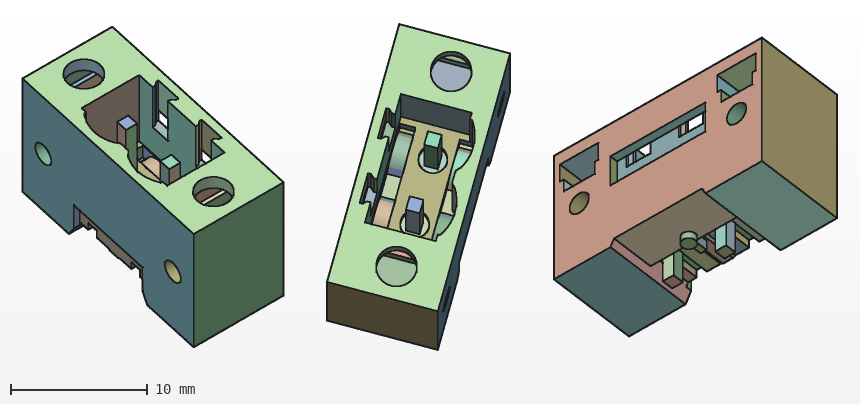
import cadquery as cq

LENGTH = 20.15
DEPTH = 8.43
HEIGHT = 12.02
FRONT_Y = -DEPTH / 2
BACK_Y = DEPTH / 2

PITCH = 5.08
PIN_POSITIONS = (-PITCH / 2, PITCH / 2)
AXIS_Y = -0.4
PIN_SIDE = 1.05
PIN_TOP = 11.0
PIN_BOTTOM = -1.5
PIN_FRONT_Y = AXIS_Y - PIN_SIDE / 2
PIN_BACK_Y = AXIS_Y + PIN_SIDE / 2

POCKET_HALF_LENGTH = 5.02
POCKET_FRONT_Y = -2.68
POCKET_BACK_Y = 2.7
POCKET_FLOOR = 5.0
LOBE_FRONT_Y = -3.47
LOBE_RADIUS = 3.43
LOBE_HALF_WIDTH = 1.95
LOBE_CUT_HALF_WIDTH = 1.71
LOBE_GAP_HALF_WIDTH = 0.48
PIN_RECESS_DIAMETER = 2.12
PIN_RECESS_DEPTH = 0.5

TROUGH_FLOOR = 3.75
TROUGH_HALF_LENGTH = PITCH / 2 + LOBE_HALF_WIDTH
FRONT_TROUGH_EDGE_Y = -1.92
BACK_TROUGH_EDGE_Y = 1.45
BACK_TROUGH_END_Y = 2.65
HUMP_HALF_WIDTH = 1.65
HUMP_ARC_HALF_WIDTH = 1.27
HUMP_SLOPE_RISE = 0.58
HUMP_ARC_RISE = 0.58

SLOT_FLOOR = 7.78
SLOT_NECK_HALF_WIDTH = 0.9
SLOT_HALF_WIDTH = 1.17
SLOT_NECK_END_Y = 2.96
SLOT_FLARE_END_Y = 3.25
SLOT_BACK_Y = 3.47

BACK_RECESS_HALF_LENGTH = 4.6
BACK_RECESS_TOP = 8.83
BACK_RECESS_BOTTOM = HEIGHT / 2

FLANGE_SPACING = 3 * PITCH
FLANGE_POSITIONS = (-FLANGE_SPACING / 2, FLANGE_SPACING / 2)
FLANGE_HOLE_DIAMETER = 3.0
FLANGE_HOLE_DEPTH = 1.19
CROSS_HOLE_DIAMETER = 1.87
NUT_SLOT_TOP = HEIGHT - FLANGE_HOLE_DEPTH
NUT_SLOT_WIDTH = 3.73
NUT_SLOT_LEDGE = 9.17
NUT_SLOT_FLOOR = 8.0
NUT_SLOT_FRONT_Y = AXIS_Y - FLANGE_HOLE_DIAMETER / 2

NOTCH_HALF_LENGTH = 4.6
NOTCH_TOP_HALF_LENGTH = 3.87
FRONT_NOTCH_HEIGHT = 1.35
BACK_NOTCH_HEIGHT = 0.65
NOTCH_SIDE_RUN = (NOTCH_HALF_LENGTH - NOTCH_TOP_HALF_LENGTH) / FRONT_NOTCH_HEIGHT
BUMP_HALF_LENGTH = 0.73
BUMP_FLAT_HALF_LENGTH = 0.48
BUMP_BOTTOM = 1.23
FRONT_RECESS_HALF_LENGTH = 4.05
FRONT_RECESS_TOP = 3.53
FRONT_RECESS_DEPTH = 0.56
PIN_CHANNEL_WIDTH = 0.99
PIN_CHANNEL_TOP = 2.08
POST_RADIUS = 0.62
POST_Y = PIN_BACK_Y + POST_RADIUS
RIB_WIDTH = 0.58
RIB_BOTTOM = 0.32


def box(x_range, y_range, z_range):
    """Box between the given limits along X, Y and Z."""
    (x0, x1), (y0, y1), (z0, z1) = x_range, y_range, z_range
    return cq.Workplane("XY").box(x1 - x0, y1 - y0, z1 - z0, centered=False).translate((x0, y0, z0))


def centred_box(x_center, width, y_range, z_range):
    """Box of the given width about x_center."""
    return box((x_center - width / 2, x_center + width / 2), y_range, z_range)


def along_y(start_y):
    """Sketch plane with X right and Z up that extrudes towards +Y."""
    return cq.Workplane(cq.Plane(origin=(0, start_y, 0), xDir=(1, 0, 0), normal=(0, -1, 0)))


def prism_y(sketch, y_range):
    """Extrude a closed X-Z sketch from the first Y to the second."""
    return sketch.extrude(-(y_range[1] - y_range[0]))


def lobe_arc_y(offset):
    """Y of the front lobe arc at an X offset from its contact."""
    center_y = LOBE_FRONT_Y + LOBE_RADIUS
    return center_y - (LOBE_RADIUS**2 - offset**2) ** 0.5


def pocket_prism(floor):
    """Full pocket outline from a floor level up to the top of the housing."""
    left, right = PIN_POSITIONS
    outer_y = lobe_arc_y(LOBE_HALF_WIDTH)
    inner_y = lobe_arc_y(LOBE_CUT_HALF_WIDTH)
    return (
        cq.Workplane("XY", origin=(0, 0, floor))
        .moveTo(-POCKET_HALF_LENGTH, POCKET_BACK_Y)
        .lineTo(-POCKET_HALF_LENGTH, POCKET_FRONT_Y)
        .lineTo(left - LOBE_HALF_WIDTH, POCKET_FRONT_Y)
        .lineTo(left - LOBE_HALF_WIDTH, outer_y)
        .threePointArc((left, LOBE_FRONT_Y), (left + LOBE_CUT_HALF_WIDTH, inner_y))
        .lineTo(-LOBE_GAP_HALF_WIDTH, POCKET_FRONT_Y)
        .lineTo(LOBE_GAP_HALF_WIDTH, POCKET_FRONT_Y)
        .lineTo(right - LOBE_CUT_HALF_WIDTH, inner_y)
        .threePointArc((right, LOBE_FRONT_Y), (right + LOBE_HALF_WIDTH, outer_y))
        .lineTo(right + LOBE_HALF_WIDTH, POCKET_FRONT_Y)
        .lineTo(POCKET_HALF_LENGTH, POCKET_FRONT_Y)
        .lineTo(POCKET_HALF_LENGTH, POCKET_BACK_Y)
        .close()
        .extrude(HEIGHT - floor)
    )


def trough(y_range):
    """Space between the humped trough floor and the pocket floor."""
    shoulder = TROUGH_FLOOR + HUMP_SLOPE_RISE
    crest = shoulder + HUMP_ARC_RISE
    sketch = along_y(y_range[0]).moveTo(-TROUGH_HALF_LENGTH, TROUGH_FLOOR)
    for x in PIN_POSITIONS:
        sketch = (
            sketch.lineTo(x - HUMP_HALF_WIDTH, TROUGH_FLOOR)
            .lineTo(x - HUMP_ARC_HALF_WIDTH, shoulder)
            .threePointArc((x, crest), (x + HUMP_ARC_HALF_WIDTH, shoulder))
            .lineTo(x + HUMP_HALF_WIDTH, TROUGH_FLOOR)
        )
    sketch = (
        sketch.lineTo(TROUGH_HALF_LENGTH, TROUGH_FLOOR)
        .lineTo(TROUGH_HALF_LENGTH, POCKET_FLOOR)
        .lineTo(-TROUGH_HALF_LENGTH, POCKET_FLOOR)
        .close()
    )
    return prism_y(sketch, y_range).intersect(pocket_prism(TROUGH_FLOOR))


def pin_recess(x):
    """Round recess in the pocket floor around one contact."""
    return (
        cq.Workplane("XY", origin=(x, AXIS_Y, POCKET_FLOOR - PIN_RECESS_DEPTH))
        .circle(PIN_RECESS_DIAMETER / 2)
        .extrude(PIN_RECESS_DEPTH)
    )


def dovetail_slot(x):
    """Dovetail slot in the back wall of the pocket, open at the top."""
    half_outline = [
        (SLOT_NECK_HALF_WIDTH, POCKET_BACK_Y),
        (SLOT_NECK_HALF_WIDTH, SLOT_NECK_END_Y),
        (SLOT_HALF_WIDTH, SLOT_FLARE_END_Y),
        (SLOT_HALF_WIDTH, SLOT_BACK_Y),
    ]
    outline = half_outline + [(-dx, y) for dx, y in reversed(half_outline)]
    return (
        cq.Workplane("XY", origin=(x, 0, SLOT_FLOOR))
        .polyline(outline)
        .close()
        .extrude(HEIGHT - SLOT_FLOOR)
    )


def back_recess():
    """Wide recess in the back face."""
    return centred_box(
        0, 2 * BACK_RECESS_HALF_LENGTH, (SLOT_BACK_Y, BACK_Y), (BACK_RECESS_BOTTOM, BACK_RECESS_TOP)
    )


def flange_cuts(x):
    """Top hole, stepped nut slot and cross hole of one flange."""
    top_hole = (
        cq.Workplane("XY", origin=(x, AXIS_Y, NUT_SLOT_TOP))
        .circle(FLANGE_HOLE_DIAMETER / 2)
        .extrude(FLANGE_HOLE_DEPTH)
    )
    slot_y = (NUT_SLOT_FRONT_Y, BACK_Y)
    wide_slot = centred_box(x, NUT_SLOT_WIDTH, slot_y, (NUT_SLOT_LEDGE, NUT_SLOT_TOP))
    narrow_slot = centred_box(x, FLANGE_HOLE_DIAMETER, slot_y, (NUT_SLOT_FLOOR, NUT_SLOT_LEDGE))
    cross_hole = prism_y(
        along_y(FRONT_Y).center(x, HEIGHT / 2).circle(CROSS_HOLE_DIAMETER / 2), (FRONT_Y, BACK_Y)
    )
    return [top_hole, wide_slot, narrow_slot, cross_hole]


def front_notch():
    """Sloped-side notch below the front half, with a shallow bump left at its middle."""
    half_outline = [
        (NOTCH_HALF_LENGTH, 0),
        (NOTCH_TOP_HALF_LENGTH, FRONT_NOTCH_HEIGHT),
        (BUMP_HALF_LENGTH, FRONT_NOTCH_HEIGHT),
        (BUMP_FLAT_HALF_LENGTH, BUMP_BOTTOM),
    ]
    outline = half_outline + [(-x, z) for x, z in reversed(half_outline)]
    return prism_y(along_y(FRONT_Y).polyline(outline).close(), (FRONT_Y, PIN_BACK_Y))


def back_notch():
    """Lower notch with the same side slopes below the back half."""
    top_half_length = NOTCH_HALF_LENGTH - NOTCH_SIDE_RUN * BACK_NOTCH_HEIGHT
    outline = [
        (NOTCH_HALF_LENGTH, 0),
        (top_half_length, BACK_NOTCH_HEIGHT),
        (-top_half_length, BACK_NOTCH_HEIGHT),
        (-NOTCH_HALF_LENGTH, 0),
    ]
    return prism_y(along_y(PIN_BACK_Y).polyline(outline).close(), (PIN_BACK_Y, BACK_Y))


def front_recess():
    """Rectangular recess at the foot of the front face."""
    return centred_box(
        0, 2 * FRONT_RECESS_HALF_LENGTH, (FRONT_Y, FRONT_Y + FRONT_RECESS_DEPTH), (0, FRONT_RECESS_TOP)
    )


def pin_channel(x):
    """Channel in the underside from the front recess to the front of one pin."""
    return centred_box(
        x, PIN_CHANNEL_WIDTH, (FRONT_Y + FRONT_RECESS_DEPTH, PIN_FRONT_Y), (0, PIN_CHANNEL_TOP)
    )


def foot():
    """Round post under the back half, joined to the front half by a thin rib."""
    post = (
        cq.Workplane("XY", origin=(0, POST_Y, 0))
        .circle(POST_RADIUS)
        .extrude(BACK_NOTCH_HEIGHT)
    )
    rib = centred_box(0, RIB_WIDTH, (PIN_FRONT_Y, POST_Y), (RIB_BOTTOM, BUMP_BOTTOM))
    return post.union(rib)


def make_pin(x):
    """Straight square contact pin."""
    return centred_box(x, PIN_SIDE, (PIN_FRONT_Y, PIN_BACK_Y), (PIN_BOTTOM, PIN_TOP))


def make_housing(pins):
    """Housing with all openings, and a matching hole for each pin."""
    cuts = [
        pocket_prism(POCKET_FLOOR),
        trough((LOBE_FRONT_Y, FRONT_TROUGH_EDGE_Y)),
        trough((BACK_TROUGH_EDGE_Y, BACK_TROUGH_END_Y)),
        back_recess(),
        front_notch(),
        back_notch(),
        front_recess(),
    ]
    for x in PIN_POSITIONS:
        cuts += [pin_recess(x), dovetail_slot(x), pin_channel(x)]
    for x in FLANGE_POSITIONS:
        cuts += flange_cuts(x)

    body = centred_box(0, LENGTH, (FRONT_Y, BACK_Y), (0, HEIGHT))
    for cut in cuts:
        body = body.cut(cut)
    body = body.union(foot())
    for pin in pins:
        body = body.cut(pin)
    return body


pins = [make_pin(x) for x in PIN_POSITIONS]
housing = make_housing(pins)

result = cq.Compound.makeCompound([housing.solids().val(), *[pin.val() for pin in pins]])